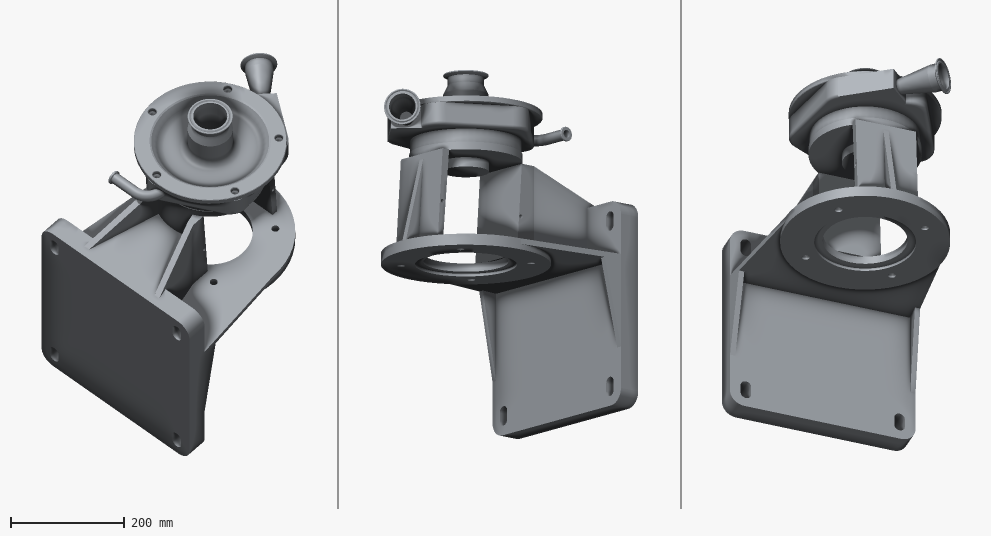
import cadquery as cq
import math


PLATE_WIDTH = 350.0
PLATE_HEIGHT = 370.0
PLATE_THICKNESS = 40.0
PLATE_FRONT_Y = -250.0
PLATE_BACK_Y = PLATE_FRONT_Y + PLATE_THICKNESS
PLATE_CORNER_RADIUS = 27.0
SLOT_WIDTH = 20.0
SLOT_LENGTH = 35.0
SLOT_EDGE_X = 30.0
SLOT_EDGE_Z = 35.0

SHELF_TOP_Z = 270.0
SHELF_THICKNESS = 10.0
SHELF_BOTTOM_Z = SHELF_TOP_Z - SHELF_THICKNESS
SHELF_RADIUS = 150.0
MOTOR_FLANGE_THICKNESS = 20.0
MOTOR_BORE_RADIUS = 75.0
MOTOR_SPIGOT_RADIUS = 90.0
MOTOR_SPIGOT_DEPTH = 5.0
MOTOR_BOLT_CIRCLE_RADIUS = 115.0
MOTOR_BOLT_DIAMETER = 14.0
MOTOR_BOLT_COUNT = 4
MOTOR_FIRST_BOLT_ANGLE = 45.0

GUSSET_REACH = 34.0
GUSSET_BOTTOM_Z = 102.0
GUSSET_THICKNESS = 10.0

RING_BOTTOM_Z = 435.0
RING_TOP_Z = 449.0
RING_RADIUS = 100.0
DRUM_RADIUS = 98.5
HUB_BOTTOM_Z = 418.0
HUB_RADIUS = 41.0

LEG_HALF_WIDTH = 57.0
FRONT_LEG_BASE_Y = -70.0
FRONT_LEG_TOP_Y = -81.0
RIB_TOP_END_Y = -109.0
BACK_LEG_BASE_Y = 101.0
BACK_LEG_TOP_Y = 87.0
BACK_LEG_BASE_THICKNESS = 12.0
BACK_LEG_TOP_THICKNESS = 15.0
BACK_RIB_BASE_Y = 143.0
BACK_RIB_THICKNESS = 10.0
GUARD_HOLE_DIAMETER = 7.0
GUARD_HOLE_DEPTH = 15.0
GUARD_HOLE_Z = 339.0
FRONT_GUARD_HOLE_Y = -79.0
BACK_GUARD_HOLE_Y = 102.5

RIB_SPLAY = 0.26
RIB_WIDTH_X = 11.5
RIB_ROOT_Y = -91.5
RIB_START_Y = -82.0
RIB_END_Y = -234.0

CASING_BOTTOM_Z = 473.0
CASING_TOP_Z = 513.6
CASING_SIDES = 5
CASING_SIDE_DISTANCE = 116.0
CASING_OUTLET_SIDE_DISTANCE = 121.4
CASING_FIRST_NORMAL = 81.0
CASING_CORNER_RADIUS = 35.0
CASING_BOTTOM_FILLET = 6.0

COVER_RADIUS = 135.0
COVER_TOP_Z = 524.4
COVER_EDGE_CHAMFER = 1.0
DISH_RIM_RADIUS = 107.0
DISH_WALL_TOP_RADIUS = 104.0
DISH_RIM_DROP = 1.5
DISH_WALL_BOTTOM_RADIUS = 94.0
DISH_FLOOR_RADIUS = 83.0
DISH_FLOOR_Z = 507.0
DISH_WALL_BOTTOM_Z = 511.8
COVER_BOLT_CIRCLE_RADIUS = 121.3
COVER_FIRST_BOLT_ANGLE = 45.0
COVER_COUNTERBORE_RADIUS = 7.5
COVER_COUNTERBORE_DEPTH = 8.0
COVER_COUNTERBORE_CHAMFER = 1.0
COVER_SCREW_RADIUS = 4.0
COVER_SCREW_POINT_HEIGHT = 2.5
INLET_RADIUS = 40.0
INLET_ROOT_FILLET = 14.0
INLET_SHOULDER_Z = 558.0
INLET_NECK_Z = 574.0
INLET_NECK_RADIUS = 32.0
INLET_TOP_Z = 593.5
INLET_BORE_RADIUS = 30.0
INLET_GROOVE_RADIUS = 35.0
INLET_BORE_BOTTOM_Z = 500.0

FERRULE_EDGE = 2.8
FERRULE_HEIGHT = 6.0
FERRULE_CHAMFER = 0.8
SEAL_GROOVE_HALF_WIDTH = 2.0
SEAL_GROOVE_DEPTH = 1.6

OUTLET_ANGLE = 135.0
OUTLET_TIP = (9.4, 165.0)
OUTLET_HALF_WIDTH = 27.0
OUTLET_Z = 491.7
OUTLET_LENGTH = 84.9
OUTLET_CONE_LENGTH = 65.0
OUTLET_ROOT_RADIUS = 14.0
OUTLET_PIPE_RADIUS = 25.0
OUTLET_FERRULE_RADIUS = 32.5
OUTLET_GROOVE_RADIUS = 28.5
OUTLET_WALL = 3.0
OUTLET_MOUTH_RADIUS = 23.5
OUTLET_MOUTH_DEPTH = 12.0
OUTLET_BORE_CONE_LENGTH = 57.0

DRAIN_Z = 495.2
DRAIN_RADIUS = 10.0
DRAIN_BORE_RADIUS = 7.0
DRAIN_PIPE_Y = -157.7
DRAIN_END_X = -88.8
DRAIN_BEND_RADIUS = 31.5
DRAIN_BEND_X = -35.0
DRAIN_ROOT_Y = -110.0
DRAIN_FERRULE_RADIUS = 13.0
DRAIN_FERRULE_THICKNESS = 4.5
DRAIN_FERRULE_CHAMFER = 1.0


def polar(radius, angle):
    """Point in the XY plane at an angle in degrees."""
    return (radius * math.cos(math.radians(angle)), radius * math.sin(math.radians(angle)))


def along(point, distance, angle):
    """Point moved a distance in a direction given in degrees."""
    step = polar(distance, angle)
    return (point[0] + step[0], point[1] + step[1])


def disc(radius, bottom, top):
    return cq.Workplane("XY").workplane(offset=bottom).circle(radius).extrude(top - bottom)


def prism(points, bottom, top):
    """Plan outline extruded upward."""
    return cq.Workplane("XY").workplane(offset=bottom).polyline(points).close().extrude(top - bottom)


def side_prism(points, half_width):
    """Outline of (Y, Z) points extruded evenly to both sides of X = 0."""
    return cq.Workplane("YZ").polyline(points).close().extrude(half_width, both=True)


def make_wall_plate():
    plate = (
        cq.Workplane("XY")
        .box(PLATE_WIDTH, PLATE_THICKNESS, PLATE_HEIGHT, centered=(True, False, False))
        .translate((0, PLATE_FRONT_Y, 0))
        .edges("|Y")
        .fillet(PLATE_CORNER_RADIUS)
    )
    slot_x = PLATE_WIDTH / 2 - SLOT_EDGE_X
    slots = (
        cq.Workplane("XZ", origin=(0, PLATE_BACK_Y, PLATE_HEIGHT / 2))
        .rect(2 * slot_x, PLATE_HEIGHT - 2 * SLOT_EDGE_Z, forConstruction=True)
        .vertices()
        .slot2D(SLOT_LENGTH, SLOT_WIDTH, 90)
        .extrude(PLATE_THICKNESS)
    )
    return plate.cut(slots)


def shelf_outline(inset, bottom, top):
    """Round-ended shelf that widens from its round end to the wall plate."""
    radius = SHELF_RADIUS - inset
    half_width = PLATE_WIDTH / 2 - inset
    return (
        cq.Workplane("XY")
        .workplane(offset=bottom)
        .moveTo(half_width, PLATE_BACK_Y)
        .lineTo(radius, 0)
        .threePointArc((0, radius), (-radius, 0))
        .lineTo(-half_width, PLATE_BACK_Y)
        .close()
        .extrude(top - bottom)
    )


def make_shelf():
    """Shelf with a round motor flange, its bore, a spigot recess from below and bolt holes."""
    shelf = shelf_outline(0, SHELF_BOTTOM_Z, SHELF_TOP_Z)
    motor_flange_bottom = SHELF_TOP_Z - MOTOR_FLANGE_THICKNESS
    shelf = shelf.union(disc(SHELF_RADIUS, motor_flange_bottom, SHELF_TOP_Z))
    shelf = shelf.cut(disc(MOTOR_BORE_RADIUS, motor_flange_bottom, SHELF_TOP_Z))
    spigot_top = motor_flange_bottom + MOTOR_SPIGOT_DEPTH
    shelf = shelf.cut(disc(MOTOR_SPIGOT_RADIUS, motor_flange_bottom, spigot_top))
    bolts = (
        cq.Workplane("XY")
        .workplane(offset=motor_flange_bottom)
        .polarArray(MOTOR_BOLT_CIRCLE_RADIUS, MOTOR_FIRST_BOLT_ANGLE, 360, MOTOR_BOLT_COUNT)
        .circle(MOTOR_BOLT_DIAMETER / 2)
        .extrude(MOTOR_FLANGE_THICKNESS)
    )
    return shelf.cut(bolts)


def make_gussets():
    """Triangular gussets under both side edges of the shelf, flush with its sides."""
    rim = shelf_outline(0, GUSSET_BOTTOM_Z, SHELF_TOP_Z).cut(
        shelf_outline(GUSSET_THICKNESS, GUSSET_BOTTOM_Z, SHELF_TOP_Z)
    )
    triangle = [
        (PLATE_BACK_Y, GUSSET_BOTTOM_Z),
        (PLATE_BACK_Y, SHELF_BOTTOM_Z),
        (PLATE_BACK_Y + GUSSET_REACH, SHELF_BOTTOM_Z),
    ]
    return rim.intersect(side_prism(triangle, PLATE_WIDTH))


def rib_inner_x(y):
    """X of the inner face of the +X splayed rib."""
    return math.sqrt(RING_RADIUS**2 - RIB_ROOT_Y**2) + RIB_SPLAY * (RIB_ROOT_Y - y)


def make_front_leg():
    """Front leg with a round outer face, two splayed ribs and a filled web between them."""
    leg = side_prism(
        [
            (FRONT_LEG_BASE_Y, SHELF_TOP_Z),
            (-RING_RADIUS, SHELF_TOP_Z),
            (-RING_RADIUS, RING_BOTTOM_Z),
            (FRONT_LEG_TOP_Y, RING_BOTTOM_Z),
        ],
        LEG_HALF_WIDTH,
    ).intersect(disc(RING_RADIUS, SHELF_TOP_Z, RING_BOTTOM_Z))

    rib_side = side_prism(
        [
            (RIB_START_Y, SHELF_TOP_Z),
            (RIB_START_Y, RING_BOTTOM_Z),
            (RIB_TOP_END_Y, RING_BOTTOM_Z),
            (RIB_END_Y, PLATE_HEIGHT),
            (RIB_END_Y, SHELF_TOP_Z),
        ],
        PLATE_WIDTH / 2,
    )
    rib_plan = [
        (rib_inner_x(RIB_START_Y), RIB_START_Y),
        (LEG_HALF_WIDTH, RIB_START_Y),
        (LEG_HALF_WIDTH, RIB_TOP_END_Y),
        (rib_inner_x(RIB_END_Y) + RIB_WIDTH_X, RIB_END_Y),
        (rib_inner_x(RIB_END_Y), RIB_END_Y),
    ]
    rib = prism(rib_plan, SHELF_TOP_Z, RING_BOTTOM_Z).intersect(rib_side)

    web_plan = [
        (-rib_inner_x(RIB_START_Y), RIB_START_Y),
        (rib_inner_x(RIB_START_Y), RIB_START_Y),
        (rib_inner_x(PLATE_BACK_Y), PLATE_BACK_Y),
        (-rib_inner_x(PLATE_BACK_Y), PLATE_BACK_Y),
    ]
    web = prism(web_plan, SHELF_TOP_Z, PLATE_HEIGHT)
    return leg.union(web).union(rib).union(rib.mirror("YZ"))


def make_back_leg():
    """Leaning plate with a central rib behind it."""
    leg = side_prism(
        [
            (BACK_LEG_BASE_Y, SHELF_TOP_Z),
            (BACK_LEG_BASE_Y + BACK_LEG_BASE_THICKNESS, SHELF_TOP_Z),
            (BACK_LEG_TOP_Y + BACK_LEG_TOP_THICKNESS, RING_BOTTOM_Z),
            (BACK_LEG_TOP_Y, RING_BOTTOM_Z),
        ],
        LEG_HALF_WIDTH,
    )
    rib = side_prism(
        [
            (BACK_LEG_BASE_Y, SHELF_TOP_Z),
            (BACK_RIB_BASE_Y, SHELF_TOP_Z),
            (RING_RADIUS, RING_BOTTOM_Z),
            (BACK_LEG_TOP_Y, RING_BOTTOM_Z),
        ],
        BACK_RIB_THICKNESS / 2,
    )
    return leg.union(rib)


def make_guard_holes():
    """Blind holes in the side faces of both legs."""
    holes = cq.Workplane("XY")
    for y in (FRONT_GUARD_HOLE_Y, BACK_GUARD_HOLE_Y):
        for start in (-LEG_HALF_WIDTH, LEG_HALF_WIDTH - GUARD_HOLE_DEPTH):
            hole = (
                cq.Workplane("YZ", origin=(start, y, GUARD_HOLE_Z))
                .circle(GUARD_HOLE_DIAMETER / 2)
                .extrude(GUARD_HOLE_DEPTH)
            )
            holes = holes.add(hole)
    return holes.combine()


def make_bearing():
    ring = disc(RING_RADIUS, RING_BOTTOM_Z, RING_TOP_Z)
    drum = disc(DRUM_RADIUS, RING_TOP_Z, CASING_BOTTOM_Z)
    hub = disc(HUB_RADIUS, HUB_BOTTOM_Z, RING_BOTTOM_Z)
    return ring.union(drum).union(hub)


def casing_corner_centre(normal_1, distance_1, normal_2, distance_2):
    """Centre of the rounding between two sides given by normal angle and distance from the axis."""
    a = distance_1 - CASING_CORNER_RADIUS
    b = distance_2 - CASING_CORNER_RADIUS
    turn = math.radians(normal_2 - normal_1)
    sideways = (b - a * math.cos(turn)) / math.sin(turn)
    return along(polar(a, normal_1), sideways, normal_1 + 90)


def casing_corners():
    """Rounding centres with the normals of the two sides they join."""
    step = 360 / CASING_SIDES
    corners = []
    for i in range(CASING_SIDES):
        normal_1 = CASING_FIRST_NORMAL + i * step
        distance_1 = CASING_OUTLET_SIDE_DISTANCE if i == 0 else CASING_SIDE_DISTANCE
        distance_2 = CASING_OUTLET_SIDE_DISTANCE if i == CASING_SIDES - 1 else CASING_SIDE_DISTANCE
        centre = casing_corner_centre(normal_1, distance_1, normal_1 + step, distance_2)
        corners.append((centre, normal_1, normal_1 + step))
    return corners


def make_casing():
    """Five-sided casing with rounded corners."""
    outline = cq.Workplane("XY").workplane(offset=CASING_BOTTOM_Z)
    for i, (centre, normal_1, normal_2) in enumerate(casing_corners()):
        start = along(centre, CASING_CORNER_RADIUS, normal_1)
        middle = along(centre, CASING_CORNER_RADIUS, (normal_1 + normal_2) / 2)
        end = along(centre, CASING_CORNER_RADIUS, normal_2)
        outline = outline.moveTo(*start) if i == 0 else outline.lineTo(*start)
        outline = outline.threePointArc(middle, end)
    casing = outline.close().extrude(CASING_TOP_Z - CASING_BOTTOM_Z)
    return casing.faces("<Z").edges().fillet(CASING_BOTTOM_FILLET)


def make_outlet_block():
    """Block whose slanted face carries the outlet nozzle; its far side runs tangent to a corner."""
    centre = casing_corners()[-1][0]
    dx = OUTLET_TIP[0] - centre[0]
    dy = OUTLET_TIP[1] - centre[1]
    tip_angle = math.degrees(math.atan2(dy, dx))
    tangent_angle = tip_angle - math.degrees(math.acos(CASING_CORNER_RADIUS / math.hypot(dx, dy)))
    plan = [
        OUTLET_TIP,
        along(OUTLET_TIP, 2 * OUTLET_HALF_WIDTH, OUTLET_ANGLE + 90),
        (0, 0),
        centre,
        along(centre, CASING_CORNER_RADIUS, tangent_angle),
    ]
    return prism(plan, CASING_BOTTOM_Z, CASING_TOP_Z)


def outlet_plane():
    """Plane on the outlet face, its normal pointing out along the nozzle."""
    origin = along(OUTLET_TIP, OUTLET_HALF_WIDTH, OUTLET_ANGLE + 90)
    normal = polar(1, OUTLET_ANGLE)
    return cq.Plane(origin=(*origin, OUTLET_Z), xDir=(0, 0, 1), normal=(*normal, 0))


def revolve_on(plane, profile):
    """Solid of revolution from (radius, height) points about the plane's normal."""
    turned = cq.Workplane("XZ").polyline(profile).close().revolve(360, (0, 0, 0), (0, 1, 0))
    return cq.Workplane(turned.val().moved(cq.Location(plane)))


def make_seal_groove(plane, face_height, middle_radius):
    """Ring-shaped vee groove in the end face of a clamp ferrule."""
    return revolve_on(
        plane,
        [
            (middle_radius - SEAL_GROOVE_HALF_WIDTH, face_height),
            (middle_radius, face_height - SEAL_GROOVE_DEPTH),
            (middle_radius + SEAL_GROOVE_HALF_WIDTH, face_height),
        ],
    )


def ferrule_rim(rim_radius, face_height):
    """Profile points of a chamfered ferrule rim, from its underside to its end face."""
    edge_bottom = face_height - FERRULE_EDGE
    return [
        (rim_radius - FERRULE_CHAMFER, edge_bottom),
        (rim_radius, edge_bottom + FERRULE_CHAMFER),
        (rim_radius, face_height - FERRULE_CHAMFER),
        (rim_radius - FERRULE_CHAMFER, face_height),
        (0, face_height),
    ]


def make_outlet_nozzle():
    ferrule_start = OUTLET_LENGTH - FERRULE_HEIGHT
    return revolve_on(
        outlet_plane(),
        [
            (0, 0),
            (OUTLET_ROOT_RADIUS, 0),
            (OUTLET_PIPE_RADIUS, OUTLET_CONE_LENGTH),
            (OUTLET_PIPE_RADIUS, ferrule_start),
            *ferrule_rim(OUTLET_FERRULE_RADIUS, OUTLET_LENGTH),
        ],
    )


def make_outlet_bore():
    return revolve_on(
        outlet_plane(),
        [
            (0, 0),
            (OUTLET_ROOT_RADIUS - OUTLET_WALL, 0),
            (OUTLET_PIPE_RADIUS - OUTLET_WALL, OUTLET_BORE_CONE_LENGTH),
            (OUTLET_MOUTH_RADIUS, OUTLET_LENGTH - OUTLET_MOUTH_DEPTH),
            (OUTLET_MOUTH_RADIUS, OUTLET_LENGTH),
            (0, OUTLET_LENGTH),
        ],
    )


def make_cover():
    cover = disc(COVER_RADIUS, CASING_TOP_Z, COVER_TOP_Z)
    return cover.edges().chamfer(COVER_EDGE_CHAMFER)


def make_dish():
    """Ring-shaped hollow around the inlet pipe, with a sloping wall and rounded floor edges."""
    arc_middle = INLET_ROOT_FILLET * (1 - math.sqrt(0.5))
    root_radius = INLET_RADIUS + INLET_ROOT_FILLET
    return (
        cq.Workplane("XZ")
        .moveTo(DISH_RIM_RADIUS, COVER_TOP_Z)
        .lineTo(DISH_WALL_TOP_RADIUS, COVER_TOP_Z - DISH_RIM_DROP)
        .lineTo(DISH_WALL_BOTTOM_RADIUS, DISH_WALL_BOTTOM_Z)
        .tangentArcPoint((DISH_FLOOR_RADIUS, DISH_FLOOR_Z), relative=False)
        .lineTo(root_radius, DISH_FLOOR_Z)
        .threePointArc(
            (INLET_RADIUS + arc_middle, DISH_FLOOR_Z + arc_middle),
            (INLET_RADIUS, DISH_FLOOR_Z + INLET_ROOT_FILLET),
        )
        .lineTo(INLET_RADIUS, COVER_TOP_Z)
        .close()
        .revolve(360, (0, 0, 0), (0, 1, 0))
    )


def make_inlet():
    return revolve_on(
        cq.Plane.XY(),
        [
            (0, CASING_TOP_Z),
            (INLET_RADIUS, CASING_TOP_Z),
            (INLET_RADIUS, INLET_SHOULDER_Z),
            (INLET_NECK_RADIUS, INLET_NECK_Z),
            (INLET_NECK_RADIUS, INLET_TOP_Z - FERRULE_HEIGHT),
            *ferrule_rim(INLET_RADIUS, INLET_TOP_Z),
        ],
    )


def make_cover_holes():
    """Counterbores with chamfered rims, each with a conical point in its floor."""
    floor_z = COVER_TOP_Z - COVER_COUNTERBORE_DEPTH
    rim_radius = COVER_COUNTERBORE_RADIUS + COVER_COUNTERBORE_CHAMFER
    profile = [
        (0, floor_z - COVER_SCREW_POINT_HEIGHT),
        (COVER_SCREW_RADIUS, floor_z),
        (COVER_COUNTERBORE_RADIUS, floor_z),
        (COVER_COUNTERBORE_RADIUS, COVER_TOP_Z - COVER_COUNTERBORE_CHAMFER),
        (rim_radius, COVER_TOP_Z),
        (0, COVER_TOP_Z),
    ]
    holes = cq.Workplane("XY")
    for i in range(CASING_SIDES):
        angle = COVER_FIRST_BOLT_ANGLE + i * 360 / CASING_SIDES
        centre = polar(COVER_BOLT_CIRCLE_RADIUS, angle)
        holes = holes.add(revolve_on(cq.Plane.XY(), profile).translate((*centre, 0)))
    return holes.combine()


def drain_run(radius):
    """Round bar along the drain: out of the casing, through the bend and along -X."""
    bend_end_x = DRAIN_BEND_X + DRAIN_BEND_RADIUS
    bend_end_y = DRAIN_PIPE_Y + DRAIN_BEND_RADIUS
    path = (
        cq.Workplane("XY", origin=(0, 0, DRAIN_Z))
        .moveTo(DRAIN_END_X, DRAIN_PIPE_Y)
        .lineTo(DRAIN_BEND_X, DRAIN_PIPE_Y)
        .tangentArcPoint((bend_end_x, bend_end_y), relative=False)
        .lineTo(bend_end_x, DRAIN_ROOT_Y)
    )
    start = cq.Workplane("YZ", origin=(DRAIN_END_X, DRAIN_PIPE_Y, DRAIN_Z))
    return start.circle(radius).sweep(path)


def make_drain():
    ferrule = (
        cq.Workplane("YZ", origin=(DRAIN_END_X, DRAIN_PIPE_Y, DRAIN_Z))
        .circle(DRAIN_FERRULE_RADIUS)
        .extrude(DRAIN_FERRULE_THICKNESS)
        .edges()
        .chamfer(DRAIN_FERRULE_CHAMFER)
    )
    return drain_run(DRAIN_RADIUS).union(ferrule)


bracket = make_wall_plate().union(make_shelf()).union(make_gussets())
bracket = bracket.union(make_front_leg()).union(make_back_leg()).cut(make_guard_holes())

pump = make_casing().union(make_outlet_block()).union(make_cover())
pump = pump.cut(make_dish()).union(make_inlet())
pump = pump.union(make_bearing()).union(make_outlet_nozzle()).union(make_drain())
pump = pump.cut(make_outlet_bore()).cut(drain_run(DRAIN_BORE_RADIUS)).cut(make_cover_holes())
pump = pump.cut(disc(INLET_BORE_RADIUS, INLET_BORE_BOTTOM_Z, INLET_TOP_Z))
pump = pump.cut(make_seal_groove(cq.Plane.XY(), INLET_TOP_Z, INLET_GROOVE_RADIUS))
pump = pump.cut(make_seal_groove(outlet_plane(), OUTLET_LENGTH, OUTLET_GROOVE_RADIUS))

result = bracket.union(pump)